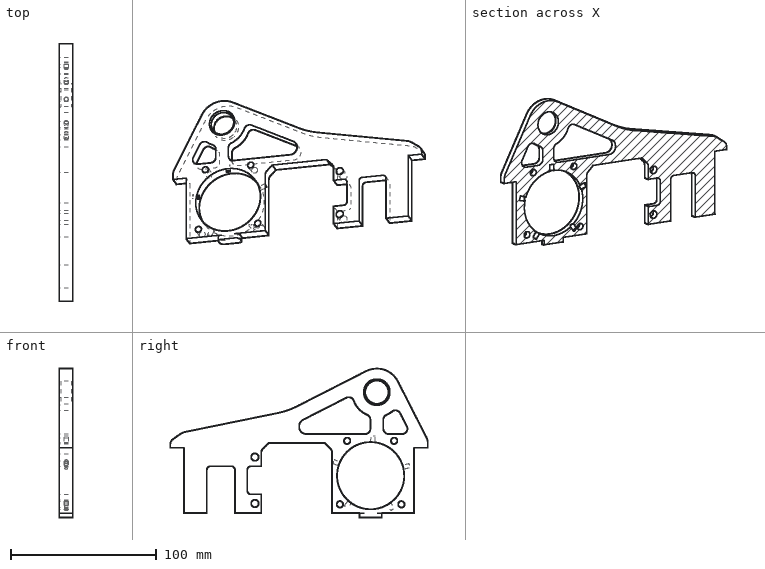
import cadquery as cq
import math


thickness = 9.5
half_length = 88.3
leg_inset = 9.4
leg_end = half_length - leg_inset
ledge_z = 44.7

pivot_y, pivot_z = 53.3, 82.8
head_radius = 16.2
pivot_bore_radius = 8.0
pivot_chamfer = 1.0
head_lean = math.radians(27.0)

arm_bend_y = -7.6
arm_shoulder = (-79.8, 55.3)
arm_tip_z = 49.3
bend_radius = 51.2
shoulder_radius = 8.8
tip_radius = 4.5
heel_radius = 7.0

arch_y_left, arch_y_right = 22.6, -25.8
arch_z = 47.8
arch_chamfer = 5.0
arch_ease_radius = 3.5

notch_depth = 9.5
notch_bottom_z, notch_top_z = 12.9, 32.0
slot_left, slot_right = -44.0, -63.0
fork_corner_radius = 2.3

fork_hole_y = -30.2
fork_hole_spacing = 31.8
fork_hole_radius = 2.5

motor_y, motor_z = 49.0, 25.6
motor_radius = 23.0
bolt_circle_radius = 28.8
bolt_hole_radius = 2.1
bolt_angles = (56.0, 124.0, 223.0, 317.0)
pocket_count = 5
pocket_start_angle = 15.0
pocket_radius = 1.5
pocket_depth = 4.5

tab_length = 15.5
tab_height = 3.2
tab_corner_radius = 3.0

window_floor_z = 54.2
rib_width = 9.0
head_ring_radius = 17.0
rear_wall = 8.6
front_wall = 10.2
front_window_end = 0.2
window_corner_radius = 3.5
front_window_tip_radius = 4.8


def plate(points):
    """Extrude a closed Y-Z outline through the full thickness, centred on X = 0."""
    return cq.Workplane("YZ").polyline(points).close().extrude(thickness / 2, both=True)


def cylinder(y, z, radius):
    """Round bar along X through the full thickness."""
    return cq.Workplane("YZ").center(y, z).circle(radius).extrude(thickness / 2, both=True)


def round_corner(body, point, radius):
    """Fillet the edge along X that passes through the given Y-Z point."""
    y, z = point
    reach = 0.09
    box = cq.selectors.BoxSelector(
        (-thickness, y - reach, z - reach), (thickness, y + reach, z + reach)
    )
    return body.edges("|X").edges(box).fillet(radius)


def rear_side_z(y, inset=0.0):
    """Height of the steep rear side of the head, moved inwards by the inset."""
    offset = head_radius - inset
    along = (offset - (y - pivot_y) * math.cos(head_lean)) / math.sin(head_lean)
    return pivot_z + along


def rear_side_y(z, inset=0.0):
    """Position along Y of the steep rear side at height z, moved inwards by the inset."""
    offset = head_radius - inset
    return pivot_y + (offset - (z - pivot_z) * math.sin(head_lean)) / math.cos(head_lean)


def front_side_z(y, inset=0.0):
    """Height of the shallow front side of the head, moved inwards by the inset."""
    offset = head_radius - inset
    along = (offset + (y - pivot_y) * math.sin(head_lean)) / math.cos(head_lean)
    return pivot_z + along


def head_corner():
    """Sharp corner where the two perpendicular sides of the head meet."""
    y = pivot_y + head_radius * (math.cos(head_lean) - math.sin(head_lean))
    z = pivot_z + head_radius * (math.sin(head_lean) + math.cos(head_lean))
    return y, z


def make_body():
    """Arm, legs and head extruded from one outline, with its curved corners filleted."""
    heel = (half_length, rear_side_z(half_length))
    bend = (arm_bend_y, front_side_z(arm_bend_y))
    tip = (-half_length, arm_tip_z)
    notch_y = arch_y_right - notch_depth
    notch_corners = [(notch_y, notch_top_z), (notch_y, notch_bottom_z)]
    slot_corners = [(slot_left, notch_top_z), (slot_right, notch_top_z)]
    arch_side_z = arch_z - arch_chamfer
    arch_corners = [(arch_y_left, arch_side_z), (arch_y_right, arch_side_z)]
    body = plate([
        (leg_end, 0),
        (leg_end, ledge_z),
        (half_length, ledge_z),
        heel,
        head_corner(),
        bend,
        arm_shoulder,
        tip,
        (-half_length, ledge_z),
        (-leg_end, ledge_z),
        (-leg_end, 0),
        (slot_right, 0),
        *reversed(slot_corners),
        (slot_left, 0),
        (arch_y_right, 0),
        (arch_y_right, notch_bottom_z),
        *reversed(notch_corners),
        (arch_y_right, notch_top_z),
        arch_corners[1],
        (arch_y_right + arch_chamfer, arch_z),
        (arch_y_left - arch_chamfer, arch_z),
        arch_corners[0],
        (arch_y_left, 0),
    ])
    body = round_corner(body, head_corner(), head_radius)
    body = round_corner(body, heel, heel_radius)
    body = round_corner(body, bend, bend_radius)
    body = round_corner(body, arm_shoulder, shoulder_radius)
    body = round_corner(body, tip, tip_radius)
    for corner in arch_corners:
        body = round_corner(body, corner, arch_ease_radius)
    for corner in notch_corners + slot_corners:
        body = round_corner(body, corner, fork_corner_radius)
    return body


def make_tab():
    """Rounded tab hanging below the foot of the motor leg."""
    tab = cq.Workplane("XY").center(0, motor_y).rect(thickness, tab_length).extrude(-tab_height)
    return tab.edges("|Z").fillet(tab_corner_radius)


def make_rear_window():
    """Window between the rear side, the rib and the ring around the pivot bore."""
    rib_y = pivot_y + rib_width / 2
    floor_y = rear_side_y(window_floor_z, rear_wall)
    window = plate([
        (rib_y, window_floor_z),
        (floor_y, window_floor_z),
        (rib_y, rear_side_z(rib_y, rear_wall)),
    ])
    window = window.cut(cylinder(pivot_y, pivot_z, head_ring_radius))
    return window.edges("|X").fillet(window_corner_radius)


def make_front_window():
    """Long window below the front side, ending in a rounded tip."""
    rib_y = pivot_y - rib_width / 2
    tip_floor = (front_window_end, window_floor_z)
    tip_top = (front_window_end, front_side_z(front_window_end, front_wall))
    window = plate([
        (rib_y, window_floor_z),
        (rib_y, front_side_z(rib_y, front_wall)),
        tip_top,
        tip_floor,
    ])
    window = window.cut(cylinder(pivot_y, pivot_z, head_ring_radius))
    rib_side = cq.selectors.BoxSelector(
        (-thickness, front_window_end + front_window_tip_radius, 0),
        (thickness, half_length, pivot_z + head_radius),
    )
    window = window.edges("|X").edges(rib_side).fillet(window_corner_radius)
    for corner in (tip_floor, tip_top):
        window = round_corner(window, corner, front_window_tip_radius)
    return window


def make_radial_pockets():
    """Blind round pockets spaced evenly around the wall of the motor bore."""
    upright_pocket = (
        cq.Workplane("XY", origin=(0, motor_y, motor_z))
        .circle(pocket_radius)
        .extrude(motor_radius + pocket_depth)
    )
    axis_start = (0, motor_y, motor_z)
    axis_end = (1, motor_y, motor_z)
    pockets = cq.Workplane("XY")
    for index in range(pocket_count):
        angle = pocket_start_angle + 360.0 * index / pocket_count
        pockets = pockets.union(upright_pocket.rotate(axis_start, axis_end, angle - 90.0))
    return pockets


def make_pivot_bore():
    """Pivot bore with a chamfer at both faces of the plate."""
    bore = cylinder(pivot_y, pivot_z, pivot_bore_radius)
    for side in (-1, 1):
        chamfer = cq.Solid.makeCone(
            pivot_bore_radius + pivot_chamfer,
            pivot_bore_radius,
            pivot_chamfer,
            pnt=cq.Vector(side * thickness / 2, pivot_y, pivot_z),
            dir=cq.Vector(-side, 0, 0),
        )
        bore = bore.union(cq.Workplane(chamfer))
    return bore


def make_bolt_holes():
    """Bolt holes on a circle around the motor bore."""
    holes = cq.Workplane("YZ")
    for angle in bolt_angles:
        y = motor_y + bolt_circle_radius * math.cos(math.radians(angle))
        z = motor_z + bolt_circle_radius * math.sin(math.radians(angle))
        holes = holes.union(cylinder(y, z, bolt_hole_radius))
    return holes


def make_fork_holes():
    """Pair of screw holes above and below the side notch."""
    notch_middle_z = (notch_bottom_z + notch_top_z) / 2
    holes = cq.Workplane("YZ")
    for side in (-1, 1):
        z = notch_middle_z + side * fork_hole_spacing / 2
        holes = holes.union(cylinder(fork_hole_y, z, fork_hole_radius))
    return holes


result = make_body().union(make_tab())
result = result.cut(make_rear_window())
result = result.cut(make_front_window())
result = result.cut(make_pivot_bore())
result = result.cut(cylinder(motor_y, motor_z, motor_radius))
result = result.cut(make_radial_pockets())
result = result.cut(make_bolt_holes())
result = result.cut(make_fork_holes())
result = cq.Workplane(result.solids().val())